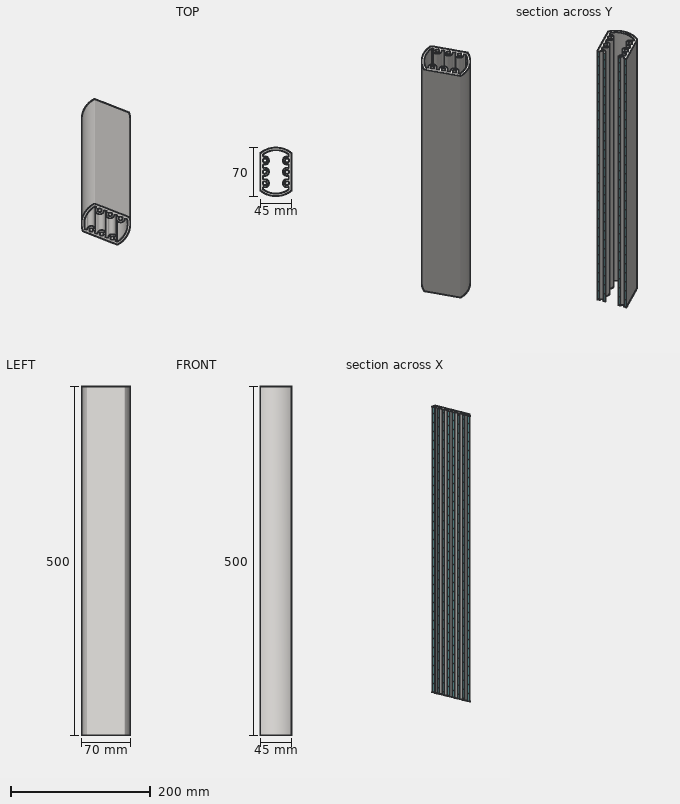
import cadquery as cq
import math

width = 45.0
depth = 70.0
length = 500.0

side_wall = 4.25
end_wall = 4.0
outer_radius = depth / 2
inner_radius = outer_radius - end_wall

corner_radius = 1.5

boss_radius = 6.0
root_fillet = 0.75
bore_radius = 2.75
boss_pitch = 16.25
bosses_per_side = 3
boss_x = 15.875


def barrel(radius, across):
    """Full-length round bar with two flats, measured across the flats in X."""
    bar = cq.Workplane("XY").circle(radius).extrude(length)
    flats = cq.Workplane("XY").rect(across, 2 * radius).extrude(length)
    return bar.intersect(flats)


def boss_positions():
    """Boss centres: one evenly spaced row inside each flat side."""
    middle = (bosses_per_side - 1) / 2
    return [
        (side * boss_x, (index - middle) * boss_pitch)
        for side in (-1, 1)
        for index in range(bosses_per_side)
    ]


def boss_rods(radius):
    """Full-length round rods at every boss centre."""
    return cq.Workplane("XY").pushPoints(boss_positions()).circle(radius).extrude(length)


def fillet_boss_roots(body):
    """Round the inside corners where the bosses meet the flat side walls."""
    wall_x = width / 2 - side_wall
    root_rise = math.sqrt(boss_radius**2 - (wall_x - boss_x) ** 2)
    roots = []
    for x, y in boss_positions():
        for root_y in (y - root_rise, y + root_rise):
            root = cq.selectors.NearestToPointSelector((math.copysign(wall_x, x), root_y, length / 2))
            roots.extend(body.edges("|Z").edges(root).vals())
    return body.newObject(roots).fillet(root_fillet)


envelope = barrel(outer_radius, width).edges("|Z").fillet(corner_radius)
cavity = barrel(inner_radius, width - 2 * side_wall)
tube = envelope.cut(cavity).union(boss_rods(boss_radius))
tube = fillet_boss_roots(tube)
result = tube.cut(boss_rods(bore_radius))